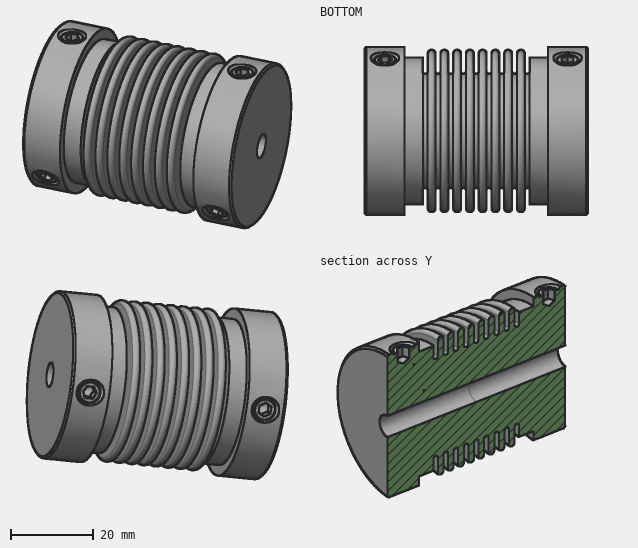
import cadquery as cq
import math

length = 54.5
hub_diameter = 41.0
collar_diameter = 35.8
bore_diameter = 6.0
hub_length = 9.8
collar_end = 14.2
hub_chamfer = 0.5

crest_count = 8
crest_diameter = 39.55
valley_diameter = 27.8
crest_width = 1.9

screw_inset = 5.0
screw_spacing_angle = 120
odd_socket_turn = 30
countersink_diameter = 6.9
screw_face_diameter = 5.0
screw_face_depth = 0.5
hex_across_flats = 3.0
hex_depth = 2.7
hex_point_angle = 118

half_length = length / 2
hub_radius = hub_diameter / 2
collar_radius = collar_diameter / 2
bellows_length = length - 2 * collar_end
valley_width = (bellows_length - crest_count * crest_width) / (crest_count + 1)


def make_body():
    """Revolve the hubs, collars and rounded bellows waves about X."""
    crest_arc = crest_width / 2
    valley_arc = valley_width / 2
    crest_flank = crest_diameter / 2 - crest_arc
    valley_flank = valley_diameter / 2 + valley_arc
    x = -half_length + collar_end

    profile = (
        cq.Workplane("XY")
        .moveTo(-half_length, 0)
        .lineTo(-half_length, hub_radius - hub_chamfer)
        .lineTo(-half_length + hub_chamfer, hub_radius)
        .lineTo(-half_length + hub_length, hub_radius)
        .lineTo(-half_length + hub_length, collar_radius)
        .lineTo(x, collar_radius)
        .lineTo(x, valley_flank)
    )
    for wave in range(crest_count + 1):
        valley_bottom = (x + valley_arc, valley_diameter / 2)
        profile = profile.threePointArc(valley_bottom, (x + valley_width, valley_flank))
        x += valley_width
        if wave < crest_count:
            profile = (
                profile.lineTo(x, crest_flank)
                .threePointArc((x + crest_arc, crest_diameter / 2), (x + crest_width, crest_flank))
                .lineTo(x + crest_width, valley_flank)
            )
            x += crest_width
    profile = (
        profile.lineTo(half_length - collar_end, collar_radius)
        .lineTo(half_length - hub_length, collar_radius)
        .lineTo(half_length - hub_length, hub_radius)
        .lineTo(half_length - hub_chamfer, hub_radius)
        .lineTo(half_length, hub_radius - hub_chamfer)
        .lineTo(half_length, 0)
        .close()
    )
    return profile.revolve(360, (0, 0, 0), (1, 0, 0))


def make_screw_recess():
    """Countersink around a set screw face along +Z, with a groove at the chamfered edge of the screw."""
    face_height = hub_radius - screw_face_depth
    face_radius = screw_face_diameter / 2
    sink_radius = countersink_diameter / 2
    chamfer = (sink_radius - face_radius - screw_face_depth) / 2
    return (
        cq.Workplane("XZ")
        .moveTo(0, face_height)
        .lineTo(face_radius, face_height)
        .lineTo(face_radius + chamfer, face_height - chamfer)
        .lineTo(sink_radius, hub_radius)
        .lineTo(0, hub_radius)
        .close()
        .revolve(360, (0, 0, 0), (0, 1, 0))
    )


def make_hex_socket():
    """Hexagonal socket along +Z that ends in a conical drill point."""
    face_height = hub_radius - screw_face_depth
    corner_radius = hex_across_flats / 2 / math.cos(math.pi / 6)
    point_depth = corner_radius / math.tan(math.radians(hex_point_angle / 2))
    floor_height = face_height - hex_depth
    drilling = (
        cq.Workplane("XZ")
        .moveTo(0, floor_height - point_depth)
        .lineTo(corner_radius, floor_height)
        .lineTo(corner_radius, face_height)
        .lineTo(0, face_height)
        .close()
        .revolve(360, (0, 0, 0), (0, 1, 0))
    )
    hexagon = (
        cq.Workplane("XY")
        .workplane(offset=face_height)
        .polygon(6, 2 * corner_radius)
        .extrude(-(hex_depth + point_depth))
    )
    return hexagon.intersect(drilling)


result = make_body()
bore = cq.Workplane("YZ").circle(bore_diameter / 2).extrude(half_length, both=True)
result = result.cut(bore)

screw_pocket = make_screw_recess().union(make_hex_socket())
left_screw_x = -half_length + screw_inset
right_screw_x = half_length - screw_inset
screws = (
    (left_screw_x, 0, 0),
    (left_screw_x, screw_spacing_angle, 0),
    (right_screw_x, 0, 0),
    (right_screw_x, screw_spacing_angle, odd_socket_turn),
)
for screw_x, angle, socket_turn in screws:
    turned_pocket = screw_pocket.rotate((0, 0, 0), (0, 0, 1), socket_turn)
    placed_pocket = turned_pocket.translate((screw_x, 0, 0)).rotate((0, 0, 0), (1, 0, 0), angle)
    result = result.cut(placed_pocket)